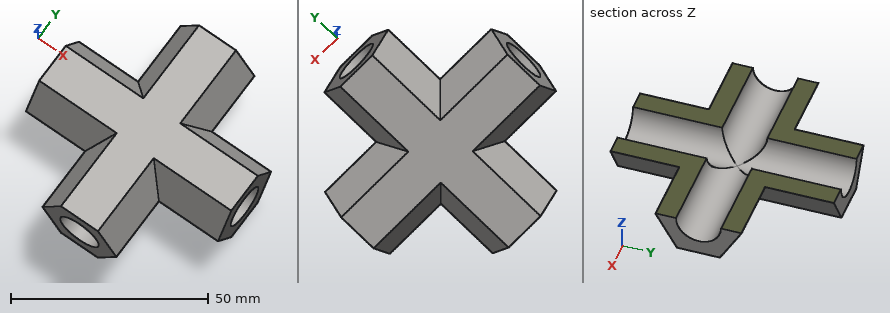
import cadquery as cq
import math

BAR_LENGTH = 60.0
ACROSS_FLATS = 20.0
BORE_DIAMETER = 12.0

HEX_SIDES = 6
ACROSS_CORNERS = ACROSS_FLATS / math.cos(math.pi / HEX_SIDES)

BAR_PLANES = ("YZ", "XZ")


def hex_bar(plane):
    """Hexagonal bar with flats on top and bottom and corners at mid height."""
    outline = cq.Workplane(plane).polygon(HEX_SIDES, ACROSS_CORNERS)
    return outline.extrude(BAR_LENGTH / 2, both=True)


def through_bore(plane):
    """Round bore running the full length of a bar."""
    outline = cq.Workplane(plane).circle(BORE_DIAMETER / 2)
    return outline.extrude(BAR_LENGTH / 2, both=True)


result = cq.Workplane()
for bar_plane in BAR_PLANES:
    result = result.add(hex_bar(bar_plane))
result = result.combine()

for bar_plane in BAR_PLANES:
    result = result.cut(through_bore(bar_plane))